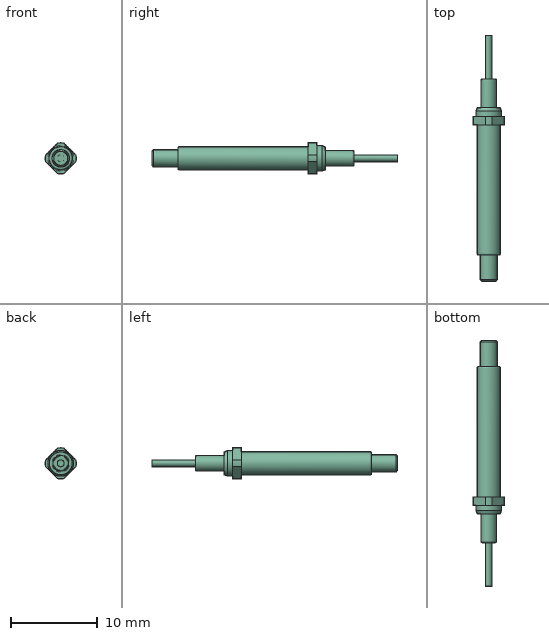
import cadquery as cq

total_length = 28.3

tip_length = 3.0
body_length = 15.0
flange_length = 1.0
collar_length = 1.0
barrel_length = 3.3

tip_diameter = 2.0
body_diameter = 2.7
flange_diameter = 3.6
flange_across_flats = 3.0
collar_diameter = 2.97
barrel_diameter = 1.8
wire_diameter = 0.8

tip_chamfer = 0.2
body_rounding = 0.2
collar_taper_length = 0.4
collar_taper_depth = 0.17
barrel_rounding = 0.2

tip_start = -total_length / 2
body_start = tip_start + tip_length
flange_start = body_start + body_length
collar_start = flange_start + flange_length
barrel_start = collar_start + collar_length
wire_start = barrel_start + barrel_length
wire_length = total_length / 2 - wire_start


def cross_section(y):
    """Workplane across the axis at y, facing the tail (+Y)."""
    plane = cq.Plane(origin=(0, y, 0), xDir=(1, 0, 0), normal=(0, 1, 0))
    return cq.Workplane(plane)


def cylinder(start, length, diameter):
    """Cylinder on the axis, running from start towards +Y."""
    return cross_section(start).circle(diameter / 2).extrude(length)


def make_tip():
    tip = cylinder(tip_start, tip_length, tip_diameter)
    return tip.faces("<Y").chamfer(tip_chamfer)


def make_body():
    body = cylinder(body_start, body_length, body_diameter)
    return body.faces("<Y").edges().fillet(body_rounding)


def make_flange():
    """Disc with four flats, its rounded corners lying on X and Z."""
    disc = cylinder(flange_start, flange_length, flange_diameter)
    flats = (
        cross_section(flange_start)
        .transformed(rotate=(0, 0, 45))
        .rect(flange_across_flats, flange_across_flats)
        .extrude(flange_length)
    )
    return disc.intersect(flats)


def make_collar():
    collar = cylinder(collar_start, collar_length, collar_diameter)
    return collar.faces(">Y").chamfer(collar_taper_length, collar_taper_depth)


def make_barrel():
    barrel = cylinder(barrel_start, barrel_length, barrel_diameter)
    return barrel.faces(">Y").edges().fillet(barrel_rounding)


def make_wire():
    return cylinder(wire_start, wire_length, wire_diameter)


result = (
    make_tip()
    .union(make_body())
    .union(make_flange())
    .union(make_collar())
    .union(make_barrel())
    .union(make_wire())
)